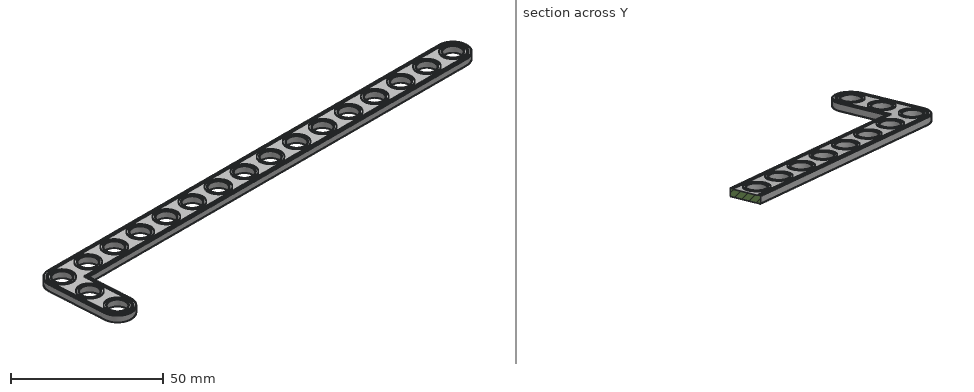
import cadquery as cq

pitch = 12.5
thickness = pitch / 4
long_arm_holes = 16
short_arm_holes = 3
hole_diameter = 7.0
collar_diameter = 9.2
chamfer = 0.3
recess_depth = 0.2

rim_width = (collar_diameter - hole_diameter) / 2
floor_height = thickness - recess_depth

long_arm_length = (long_arm_holes - 1) * pitch
short_arm_length = (short_arm_holes - 1) * pitch
long_arm_centers = [(0, i * pitch) for i in range(long_arm_holes)]
short_arm_centers = [(i * pitch, 0) for i in range(1, short_arm_holes)]
hole_centers = long_arm_centers + short_arm_centers


def angle_bar(width, bottom, height):
    """L-shaped bar of two round-ended arms that meet at the corner hole."""
    plane = cq.Workplane("XY").workplane(offset=bottom)
    long_arm = (
        plane.center(0, long_arm_length / 2)
        .slot2D(long_arm_length + width, width, 90)
        .extrude(height)
    )
    short_arm = (
        plane.center(short_arm_length / 2, 0)
        .slot2D(short_arm_length + width, width)
        .extrude(height)
    )
    return long_arm.union(short_arm)


def cylinders(diameter, bottom, height):
    """Equal upright cylinders, one on every hole centre."""
    plane = cq.Workplane("XY").workplane(offset=bottom)
    return plane.pushPoints(hole_centers).circle(diameter / 2).extrude(height)


def chamfered_body():
    """Solid bar with its outline bevelled at the top and the bottom."""
    return angle_bar(pitch, 0, thickness).faces("<Z or >Z").edges().chamfer(chamfer)


def top_recess():
    """Shallow pocket in the top face that leaves the rim and the collars standing."""
    pocket = angle_bar(pitch - 2 * rim_width, floor_height, recess_depth)
    return pocket.cut(cylinders(collar_diameter, floor_height, recess_depth))


def hole_cutter():
    """One hole with both mouths flared, revolved about the Z axis."""
    radius = hole_diameter / 2
    mouth_radius = radius + chamfer
    profile = [
        (0, 0),
        (mouth_radius, 0),
        (radius, chamfer),
        (radius, thickness - chamfer),
        (mouth_radius, thickness),
        (0, thickness),
    ]
    return cq.Workplane("XZ").polyline(profile).close().revolve().val()


def hole_cutters():
    """The flared hole repeated on every hole centre."""
    cutter = hole_cutter()
    return cq.Workplane("XY").pushPoints(hole_centers).eachpoint(lambda place: cutter.moved(place))


result = chamfered_body().cut(top_recess()).cut(hole_cutters())